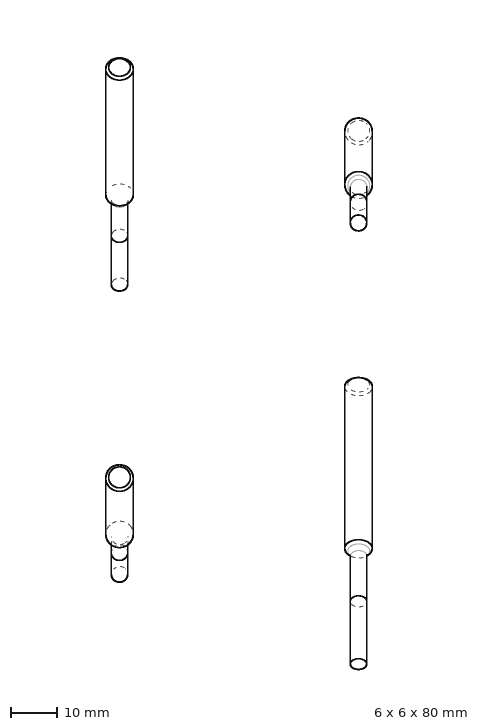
import cadquery as cq
import math

total_length = 80.0
shank_radius = 6.0 / 2
neck_radius = 3.6 / 2
tip_length = 18.0
shank_bottom = 33.0
top_chamfer_width = 0.6
top_chamfer_height = 0.6

neck_fillet = 2.0
cone_angle = math.radians(45)
cone_end_radius = neck_radius + neck_fillet * (1 - math.cos(cone_angle))
cone_height = (shank_radius - cone_end_radius) / math.tan(cone_angle)
cone_end_z = shank_bottom - cone_height
neck_top = cone_end_z - neck_fillet * math.sin(cone_angle)


def make_tip():
    """Plain cylindrical tip below the neck."""
    return cq.Workplane("XY").circle(neck_radius).extrude(tip_length)


def make_shank():
    """Chamfered shank with its neck, revolved from a half profile in (radius, Z)."""
    half_angle = cone_angle / 2
    arc_middle = (
        neck_radius + neck_fillet * (1 - math.cos(half_angle)),
        neck_top + neck_fillet * math.sin(half_angle),
    )
    profile = (
        cq.Workplane("XZ")
        .moveTo(0, tip_length)
        .lineTo(neck_radius, tip_length)
        .lineTo(neck_radius, neck_top)
        .threePointArc(arc_middle, (cone_end_radius, cone_end_z))
        .lineTo(shank_radius, shank_bottom)
        .lineTo(shank_radius, total_length - top_chamfer_height)
        .lineTo(shank_radius - top_chamfer_width, total_length)
        .lineTo(0, total_length)
        .close()
    )
    return profile.revolve(360, (0, 0, 0), (0, 1, 0))


tip = make_tip()
shank = make_shank()

result = cq.Compound.makeCompound([tip.val(), shank.val()])